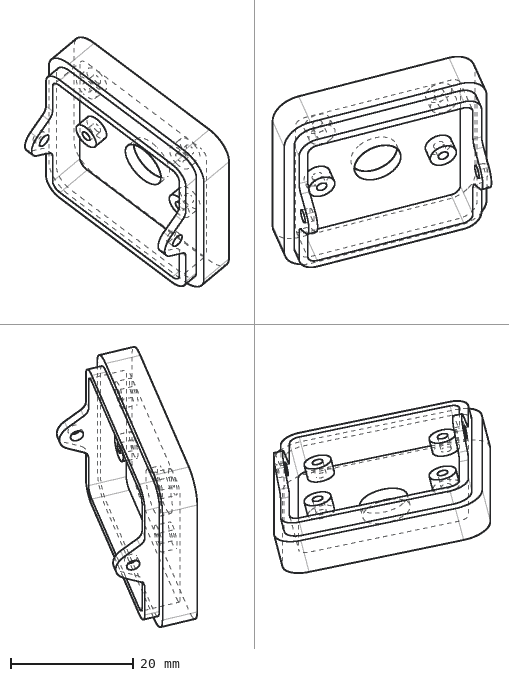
import cadquery as cq
import math

side = 35.0
body_depth = 6.0
body_corner = 4.5
floor_thickness = 2.0

lip_side = 31.57
lip_height = 2.5
lip_corner = 3.1
wall = 1.5
cavity_side = lip_side - 2 * wall
cavity_corner = lip_corner - wall

boss_diameter = 4.5
boss_height = 2.5
pilot_diameter = 1.7
boss_x = 10.5
boss_rows_z = (11.95, -1.05)

opening_diameter = 8.0
opening_z = -1.6

ear_reach = 5.0
ear_tip_radius = 3.0
ear_base_half = 5.0
ear_root_fillet = 2.0
ear_hole_diameter = 2.2

total_depth = body_depth + lip_height + ear_reach
back_y = total_depth / 2
floor_y = back_y - floor_thickness
step_y = back_y - body_depth
rim_y = step_y - lip_height
ear_hole_y = rim_y - ear_reach + ear_tip_radius


def plane_at(y):
    """XZ plane at the given Y; extrusions run towards -Y."""
    return cq.Workplane("XZ", origin=(0, y, 0))


def rounded_square(y, size, depth, corner):
    return plane_at(y).rect(size, size).extrude(depth).edges("|Y").fillet(corner)


def ear(outer_x):
    """Triangular ear with a rounded tip, spanning one wall thickness from outer_x towards +X."""
    reach = rim_y - ear_hole_y
    slope = math.atan2(reach, ear_base_half) + math.asin(
        ear_tip_radius / math.hypot(reach, ear_base_half)
    )
    tangent_y = ear_hole_y - ear_tip_radius * math.cos(slope)
    tangent_z = ear_tip_radius * math.sin(slope)
    setback = ear_root_fillet * math.tan(slope / 2)
    rim_z = ear_base_half + setback
    flank_y = rim_y - setback * math.sin(slope)
    flank_z = ear_base_half - setback * math.cos(slope)
    root_mid_y = rim_y - ear_root_fillet * (1 - math.cos(slope / 2))
    root_mid_z = rim_z - ear_root_fillet * math.sin(slope / 2)
    tip_y = rim_y - ear_reach
    plate = (
        cq.Workplane("YZ", origin=(outer_x, 0, 0))
        .moveTo(step_y, rim_z)
        .lineTo(rim_y, rim_z)
        .threePointArc((root_mid_y, root_mid_z), (flank_y, flank_z))
        .lineTo(tangent_y, tangent_z)
        .threePointArc((tip_y, 0), (tangent_y, -tangent_z))
        .lineTo(flank_y, -flank_z)
        .threePointArc((root_mid_y, -root_mid_z), (rim_y, -rim_z))
        .lineTo(step_y, -rim_z)
        .close()
        .extrude(wall)
    )
    hole = (
        cq.Workplane("YZ", origin=(outer_x, 0, 0))
        .center(ear_hole_y, 0)
        .circle(ear_hole_diameter / 2)
        .extrude(wall)
    )
    return plate.cut(hole)


body = rounded_square(back_y, side, body_depth, body_corner)
lip = rounded_square(step_y, lip_side, lip_height, lip_corner)
cavity = rounded_square(floor_y, cavity_side, floor_y - rim_y, cavity_corner)
tray = body.union(lip).cut(cavity)

boss_centres = [(x, z) for x in (-boss_x, boss_x) for z in boss_rows_z]
bosses = (
    plane_at(floor_y)
    .pushPoints(boss_centres)
    .circle(boss_diameter / 2)
    .circle(pilot_diameter / 2)
    .extrude(boss_height)
)

opening = plane_at(back_y).center(0, opening_z).circle(opening_diameter / 2).extrude(floor_thickness)

result = tray.union(bosses).cut(opening)
for ear_x in (-lip_side / 2, lip_side / 2 - wall):
    result = result.union(ear(ear_x))